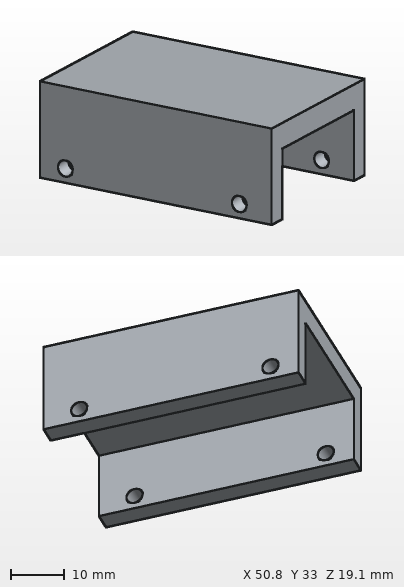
import cadquery as cq

length = 50.8
width = 33.0
height = 19.05

side_wall = 3.8
top_wall = 5.1

hole_diameter = 3.2
first_hole_x = 5.6
hole_spacing = 38.1
hole_height = 2.85


def channel():
    """Inverted U, open at the bottom and at both ends, with a corner at the origin."""
    block = cq.Workplane("XY").box(length, width, height, centered=False)
    opening = (
        cq.Workplane("XY")
        .box(length, width - 2 * side_wall, height - top_wall, centered=False)
        .translate((0, side_wall, 0))
    )
    return block.cut(opening)


def cross_hole(x):
    """Cylinder along Y that passes through both side walls."""
    return (
        cq.Workplane("XZ")
        .center(x, hole_height)
        .circle(hole_diameter / 2)
        .extrude(-width)
    )


result = channel()
for hole_x in (first_hole_x, first_hole_x + hole_spacing):
    result = result.cut(cross_hole(hole_x))